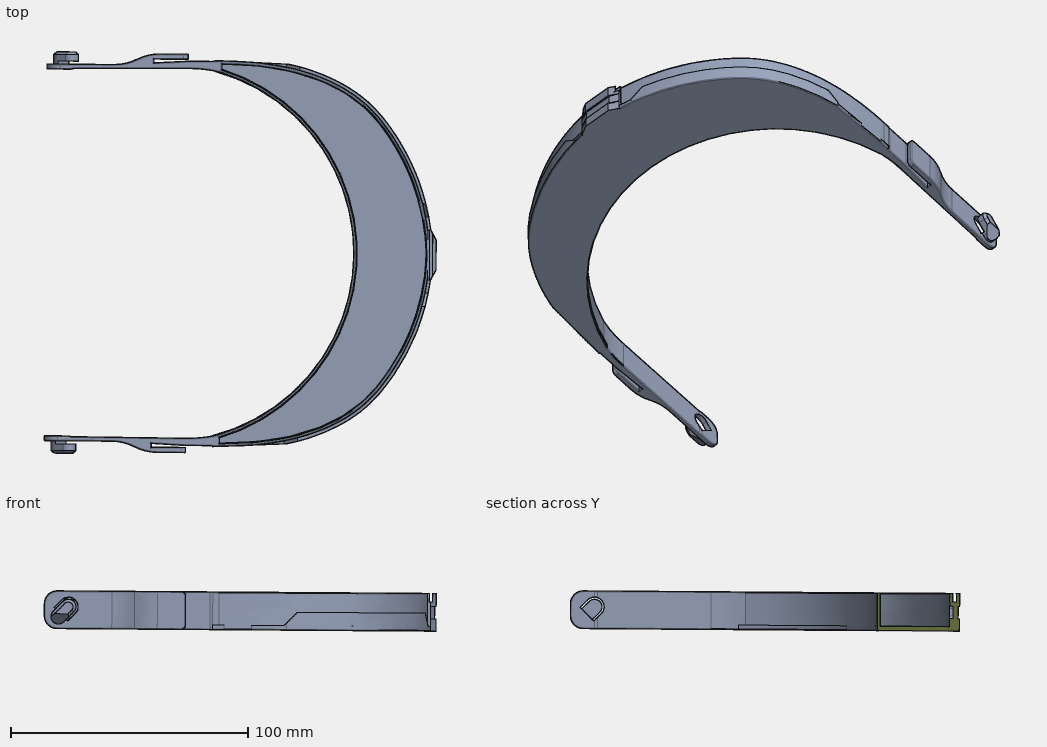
import cadquery as cq
import math


HEIGHT = 16.0
EDGE_RADIUS = 0.4
TILT_ABOUT_Z = -0.4
TILT_ABOUT_Y = 0.4
OVERSIZE = 200.0
SLACK = 0.1

FLOOR = 2.0
WALL = 1.4
INNER_CENTRE_X = -32.0
INNER_RADIUS = 79.8
TRAY_START_X = -8.3
LIP_CENTRE_X = -31.4
LIP_RADIUS = 79.3
LIP_START_X = -11.1
LIP_START_Y = 81.4
WALL_INNER = [(8.0, 79.0), (34.0, 72.8), (52.0, 61.8), (62.7, 49.0), (71.2, 33.2), (76.4, 16.3), (78.2, 0.0)]
TRAY_END_Y = 79.8

FLANGE_WIDTH = 1.4
FLANGE_HEIGHT = 7.6
FLANGE_START = (20.0, 80.0)
FLANGE_RAMP_X = 19.0
FLANGE_END_Y = 16.0

TIP_X = -82.1
TIP_INNER_Y = 77.2
TIP_CORNER_RADIUS = 5.5
TIP_PAD_X = -71.9
TIP_RAMP_X = -70.7
ARM_INNER_Y = 77.5
ARM_THICKNESS = 1.9
ARM_OUTER_Y = ARM_INNER_Y + ARM_THICKNESS
ROOT_X = -22.8
ROOT_INNER_Y = 77.85
ROOT_OUTER_Y = 81.0
ROOT_STEP_X = -12.2
BLEND_MID = (-15.5, 77.5)

FINGER_TOE_X = -53.6
FINGER_FLAT_X = -34.4
FINGER_BEND_X = (FINGER_TOE_X + FINGER_FLAT_X) / 2
FINGER_END_X = -22.5
FINGER_OUTER_Y = 84.0
FINGER_THICKNESS = 2.3
FINGER_INNER_Y = FINGER_OUTER_Y - FINGER_THICKNESS
FINGER_CORNER_RADIUS = 2.0
SLOT_START_X = -37.0
SLOT_FLOOR_Y = 80.2

HOOK_X = -74.0
HOOK_Z = HEIGHT / 2 - 0.8
HOOK_ANGLE = 45.0
HOOK_LENGTH = 5.8
HOOK_WIDTH = 6.4
HOLE_WIDTH = 8.1
NECK_EDGE = -1.5
HOOK_GAP = 1.2
HOOK_OUTER_Y = 84.59
HOOK_CHAMFER = 1.2
HOOK_RAMP_Z = HOOK_Z - 0.9

CLIP_OUTER_X = 82.45
CLIP_HALF_WIDTH = 6.3
CLIP_BASE_HALF_WIDTH = 10.5
CLIP_BASE_X = 80.2
CLIP_BLOCK_HEIGHT = 5.2
CLIP_WAIST_TOP = 10.4
CLIP_WAIST_INSET = 0.6
CLIP_TONGUE = 1.5
CLIP_SLOT_DEPTH = 3.6
CLIP_HOLE_WIDTH = 3.0
CLIP_HOLE_HEIGHT = 6.0


def pushed_out(points, distance):
    """Move points away from the origin by a distance."""
    moved = []
    for x, y in points:
        factor = 1 + distance / math.hypot(x, y)
        moved.append((x * factor, y * factor))
    return moved


def mirrored(points):
    """Continue a run that ends on the centre plane with its mirror image."""
    return points + [(x, -y) for x, y in reversed(points[:-1])]


def curved_region(points, height):
    """Solid bounded by a curve through the points and the chord between its ends."""
    curve = mirrored(points)
    return cq.Workplane().moveTo(*curve[0]).spline(curve[1:], includeCurrent=True).close().extrude(height)


def inner_cylinder(radius, centre_x=INNER_CENTRE_X):
    return cq.Workplane().center(centre_x, 0).circle(radius).extrude(HEIGHT)


def inner_arc_y(x):
    return math.sqrt(INNER_RADIUS**2 - (x - INNER_CENTRE_X) ** 2)


wall_inner = [(TRAY_START_X, TRAY_END_Y)] + WALL_INNER
wall_outer = pushed_out(wall_inner, WALL)
flange_outer = [FLANGE_START] + pushed_out(WALL_INNER[1:], WALL + FLANGE_WIDTH)


def make_tray():
    solid = curved_region(wall_outer, HEIGHT).cut(inner_cylinder(INNER_RADIUS))
    pocket = curved_region(wall_inner, HEIGHT).cut(inner_cylinder(INNER_RADIUS + WALL))
    return solid.cut(pocket.translate((0, 0, FLOOR)))


def make_skirt():
    """Floor plate, standing a little proud of the bands, with the flange rising from its outer rim."""
    curve = mirrored(flange_outer)
    outline = (
        cq.Workplane()
        .moveTo(LIP_START_X, LIP_START_Y)
        .lineTo(*curve[0])
        .spline(curve[1:], includeCurrent=True)
        .lineTo(LIP_START_X, -LIP_START_Y)
        .close()
        .extrude(FLANGE_HEIGHT)
        .cut(inner_cylinder(LIP_RADIUS, LIP_CENTRE_X))
    )
    rise = FLANGE_HEIGHT - FLOOR
    behind_flange = (
        cq.Workplane("XZ")
        .moveTo(-OVERSIZE, FLOOR)
        .lineTo(FLANGE_RAMP_X, FLOOR)
        .lineTo(FLANGE_RAMP_X + rise, FLANGE_HEIGHT)
        .lineTo(-OVERSIZE, FLANGE_HEIGHT)
        .close()
        .extrude(OVERSIZE / 2, both=True)
    )
    front_gap = (
        cq.Workplane("YZ")
        .moveTo(-FLANGE_END_Y, FLOOR)
        .lineTo(FLANGE_END_Y, FLOOR)
        .lineTo(FLANGE_END_Y + rise, FLANGE_HEIGHT)
        .lineTo(-FLANGE_END_Y - rise, FLANGE_HEIGHT)
        .close()
        .extrude(OVERSIZE)
    )
    inside = curved_region(wall_outer, HEIGHT).translate((0, 0, FLOOR))
    return outline.cut(inside).cut(behind_flange).cut(front_gap)


def make_arm():
    """Arm on the +Y side with its side finger."""
    bend_y = (ARM_OUTER_Y + FINGER_OUTER_Y) / 2
    run = FINGER_BEND_X - FINGER_TOE_X
    rise = bend_y - ARM_OUTER_Y
    bend_radius = (run**2 + rise**2) / (2 * rise)
    outline = (
        cq.Workplane()
        .moveTo(TIP_X, TIP_INNER_Y)
        .lineTo(TIP_PAD_X, TIP_INNER_Y)
        .lineTo(TIP_RAMP_X, ARM_INNER_Y)
        .lineTo(ROOT_X, ROOT_INNER_Y)
        .threePointArc(BLEND_MID, (TRAY_START_X, inner_arc_y(TRAY_START_X)))
        .lineTo(*wall_outer[0])
        .lineTo(LIP_START_X, wall_outer[0][1])
        .lineTo(ROOT_STEP_X, ROOT_OUTER_Y)
        .lineTo(FINGER_END_X, ROOT_OUTER_Y)
        .lineTo(SLOT_START_X, SLOT_FLOOR_Y)
        .lineTo(SLOT_START_X, FINGER_INNER_Y)
        .lineTo(FINGER_END_X, FINGER_INNER_Y)
        .lineTo(FINGER_END_X, FINGER_OUTER_Y)
        .lineTo(FINGER_FLAT_X, FINGER_OUTER_Y)
        .radiusArc((FINGER_BEND_X, bend_y), -bend_radius)
        .radiusArc((FINGER_TOE_X, ARM_OUTER_Y), bend_radius)
        .lineTo(TIP_X, ARM_OUTER_Y)
        .close()
    )
    arm = outline.extrude(HEIGHT).edges("|Y and <X").fillet(TIP_CORNER_RADIUS)
    finger_end = cq.selectors.BoxSelector(
        (FINGER_END_X - FINGER_THICKNESS, FINGER_INNER_Y - SLACK, -SLACK),
        (FINGER_END_X + FINGER_THICKNESS, FINGER_OUTER_Y + SLACK, HEIGHT + SLACK),
    )
    return arm.edges("|Y").edges(finger_end).fillet(FINGER_CORNER_RADIUS)


def hook_plane(y):
    """Plane with x along the hook and its normal pointing out of the +Y arm."""
    angle = math.radians(HOOK_ANGLE)
    along = (math.cos(angle), 0, math.sin(angle))
    return cq.Workplane(cq.Plane(origin=(HOOK_X, y, HOOK_Z), xDir=along, normal=(0, 1, 0)))


def stadium(y, width, depth):
    return hook_plane(y).slot2D(HOOK_LENGTH + width, width).extrude(depth)


def neck_side(y, depth):
    """Half space of the hook that holds its neck."""
    return hook_plane(y).center(NECK_EDGE - OVERSIZE / 2, 0).rect(OVERSIZE, OVERSIZE).extrude(depth)


def make_hook():
    head_y = ARM_OUTER_Y + HOOK_GAP
    head = stadium(head_y, HOOK_WIDTH, HOOK_OUTER_Y - head_y).faces(">Y").chamfer(HOOK_CHAMFER)
    neck_depth = head_y - ARM_INNER_Y
    neck = stadium(ARM_INNER_Y, HOOK_WIDTH, neck_depth).intersect(neck_side(ARM_INNER_Y, neck_depth))
    ramp_depth = HOOK_OUTER_Y - ARM_OUTER_Y
    ramp = (
        cq.Workplane("YZ")
        .moveTo(HOOK_OUTER_Y, HOOK_RAMP_Z)
        .lineTo(ARM_OUTER_Y, HOOK_RAMP_Z - ramp_depth)
        .lineTo(HOOK_OUTER_Y, HOOK_RAMP_Z - ramp_depth)
        .close()
        .extrude(OVERSIZE, both=True)
    )
    return head.union(neck).cut(ramp)


def make_arm_hole():
    depth = ARM_OUTER_Y - TIP_INNER_Y
    return stadium(TIP_INNER_Y, HOLE_WIDTH, depth).cut(neck_side(TIP_INNER_Y, depth))


def trapezoid(outer_x, bottom, top):
    """Slice of the front clip between two heights, reaching back into the wall."""
    root_x = wall_inner[-1][0] + WALL / 2
    return (
        cq.Workplane()
        .workplane(offset=bottom)
        .moveTo(root_x, -CLIP_BASE_HALF_WIDTH)
        .lineTo(CLIP_BASE_X, -CLIP_BASE_HALF_WIDTH)
        .lineTo(outer_x, -CLIP_HALF_WIDTH)
        .lineTo(outer_x, CLIP_HALF_WIDTH)
        .lineTo(CLIP_BASE_X, CLIP_BASE_HALF_WIDTH)
        .lineTo(root_x, CLIP_BASE_HALF_WIDTH)
        .close()
        .extrude(top - bottom)
    )


def make_clip():
    block = trapezoid(CLIP_OUTER_X, 0, CLIP_BLOCK_HEIGHT)
    waist = trapezoid(CLIP_OUTER_X - CLIP_WAIST_INSET, CLIP_BLOCK_HEIGHT, CLIP_WAIST_TOP)
    tongue = trapezoid(CLIP_OUTER_X, CLIP_WAIST_TOP, HEIGHT)
    slot_start_x = wall_outer[-1][0]
    slot_end_x = CLIP_OUTER_X - CLIP_TONGUE
    slot = (
        cq.Workplane()
        .workplane(offset=HEIGHT - CLIP_SLOT_DEPTH)
        .center((slot_start_x + slot_end_x) / 2, 0)
        .rect(slot_end_x - slot_start_x, OVERSIZE)
        .extrude(CLIP_SLOT_DEPTH)
    )
    return block.union(waist).union(tongue).cut(slot)


def make_clip_hole():
    """Upright round-ended hole through the front wall, closed outside by the clip."""
    return (
        cq.Workplane("YZ")
        .workplane(offset=wall_inner[-1][0] - WALL)
        .center(0, HEIGHT / 2)
        .slot2D(CLIP_HOLE_HEIGHT, CLIP_HOLE_WIDTH, 90)
        .extrude(2 * WALL)
    )


def make_band():
    """Tray, flange and both arms with their upper and lower rims rounded."""
    arm = make_arm()
    band = make_tray().union(make_skirt()).union(arm).union(arm.mirror("XZ"))
    return band.faces("<Z or >Z").edges().fillet(EDGE_RADIUS)


hook = make_hook()
arm_hole = make_arm_hole()
visor = make_band().cut(arm_hole).cut(arm_hole.mirror("XZ"))
visor = visor.union(hook).union(hook.mirror("XZ")).union(make_clip()).cut(make_clip_hole())

result = visor.rotate((0, 0, 0), (0, 0, 1), TILT_ABOUT_Z).rotate((0, 0, 0), (0, 1, 0), TILT_ABOUT_Y)